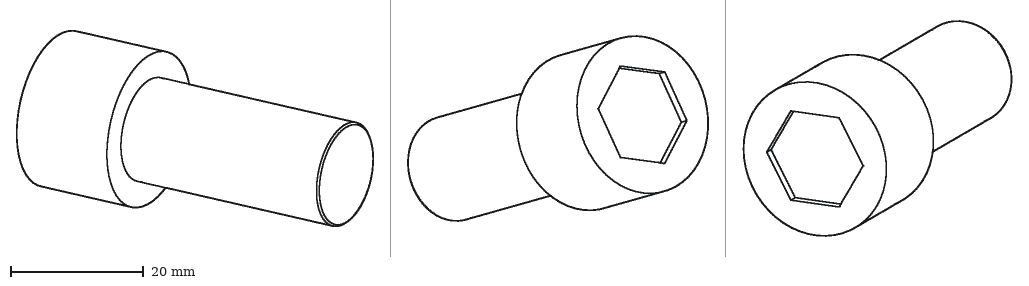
import cadquery as cq
import math

total_length = 51.0
head_diameter = 24.0
head_length = 16.0
shank_diameter = 16.0
tip_chamfer = 0.3
socket_across_flats = 14.0
socket_depth = 1.5

head_face_x = -total_length / 2
shoulder_x = head_face_x + head_length
shank_length = total_length - head_length
socket_across_corners = socket_across_flats / math.cos(math.pi / 6)


def make_head():
    plane = cq.Workplane("YZ", origin=(head_face_x, 0, 0))
    return plane.circle(head_diameter / 2).extrude(head_length)


def make_shank():
    plane = cq.Workplane("YZ", origin=(shoulder_x, 0, 0))
    shank = plane.circle(shank_diameter / 2).extrude(shank_length)
    return shank.faces(">X").chamfer(tip_chamfer)


def make_socket():
    plane = cq.Workplane("YZ", origin=(head_face_x, 0, 0))
    return plane.polygon(6, socket_across_corners).extrude(socket_depth)


result = make_head().union(make_shank()).cut(make_socket())